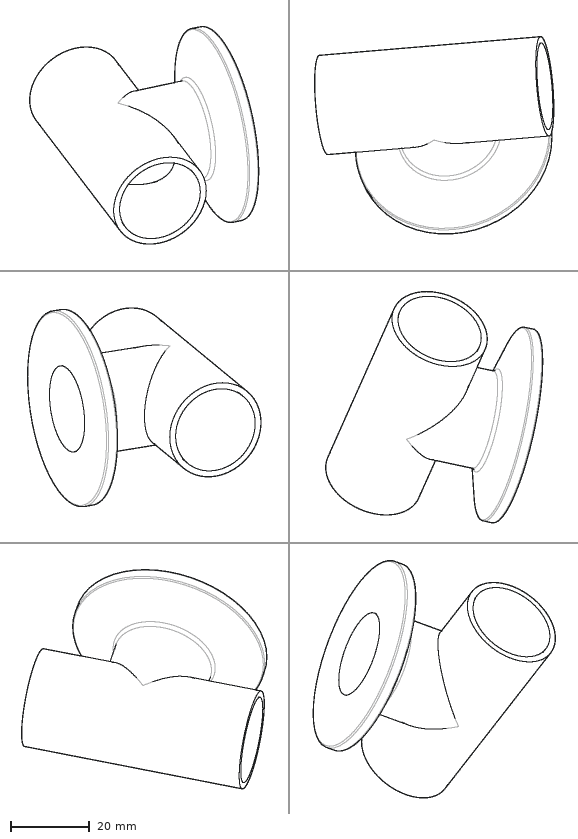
import cadquery as cq
import math

run_length = 57.15
tube_diameter = 25.4
bore_diameter = 22.1

ferrule_diameter = 50.4
face_y = 28.6
rim_thickness = 2.9
taper_angle = 20.0
rim_fillet = 0.4
neck_fillet = 1.1

tube_radius = tube_diameter / 2
bore_radius = bore_diameter / 2
ferrule_radius = ferrule_diameter / 2
rim_back_y = face_y - rim_thickness
taper_depth = (ferrule_radius - tube_radius) * math.tan(math.radians(taper_angle))
neck_y = rim_back_y - taper_depth


def run_cylinder(radius):
    """Cylinder along X over the full length of the run."""
    return cq.Workplane("YZ").circle(radius).extrude(run_length / 2, both=True)


def branch_bore():
    """Bore from the run axis out through the clamp face."""
    return cq.Workplane("XZ").circle(bore_radius).extrude(-face_y)


def edge_ring(body, radius, y):
    """The circular edge of the given radius around the Y axis at height y."""
    margin = 0.05
    reach = radius + margin
    corner_low = (-reach, y - margin, -reach)
    corner_high = (reach, y + margin, reach)
    return body.edges(cq.selectors.BoxSelector(corner_low, corner_high, boundingbox=True))


def branch_body():
    """Solid branch tube with its tapered ferrule, revolved about Y."""
    body = (
        cq.Workplane("XY")
        .moveTo(0, 0)
        .lineTo(tube_radius, 0)
        .lineTo(tube_radius, neck_y)
        .lineTo(ferrule_radius, rim_back_y)
        .lineTo(ferrule_radius, face_y)
        .lineTo(0, face_y)
        .close()
        .revolve(360, (0, 0, 0), (0, 1, 0))
    )
    body = edge_ring(body, tube_radius, neck_y).fillet(neck_fillet)
    for rim_y in (rim_back_y, face_y):
        body = edge_ring(body, ferrule_radius, rim_y).fillet(rim_fillet)
    return body


result = (
    run_cylinder(tube_radius)
    .union(branch_body())
    .cut(run_cylinder(bore_radius))
    .cut(branch_bore())
)